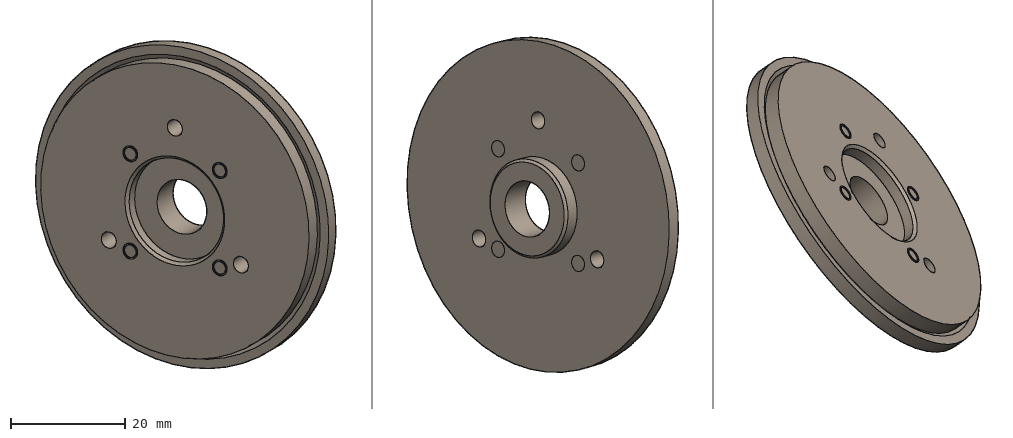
import cadquery as cq
import math

flange_diameter = 59.0
step_diameter = 54.0
boss_diameter = 17.6
step_height = 2.55
flange_thickness = 2.6
total_thickness = 8.15
boss_chamfer = 0.5
flange_back = step_height + flange_thickness

groove_diameter = 55.6
groove_depth = 0.4

bore_diameter = 10.0
recess_diameter = 19.0
recess_depth = 2.5
recess_chamfer = 0.55

through_hole_diameter = 3.0
through_hole_count = 3
through_hole_circle_radius = 15.35
first_hole_angle = 90.0

pin_diameter = 2.9
pin_length = flange_back
pin_tip_diameter = 2.35
pin_tip_depth = 0.1
pin_spacing = 18.0


def cylinder(diameter, start, length, x=0.0, z=0.0):
    """A solid cylinder along +Y that begins at Y = start."""
    return cq.Workplane(cq.Solid.makeCylinder(
        diameter / 2, length, cq.Vector(x, start, z), cq.Vector(0, 1, 0)))


def cone(start_diameter, end_diameter, start, length):
    """A solid truncated cone along +Y that begins at Y = start."""
    return cq.Workplane(cq.Solid.makeCone(
        start_diameter / 2, end_diameter / 2, length, cq.Vector(0, start, 0), cq.Vector(0, 1, 0)))


def pin_centers():
    half = pin_spacing / 2
    return [(x, z) for x in (-half, half) for z in (-half, half)]


def through_hole_centers():
    centers = []
    for index in range(through_hole_count):
        angle = math.radians(first_hole_angle + index * 360 / through_hole_count)
        centers.append((through_hole_circle_radius * math.cos(angle),
                        through_hole_circle_radius * math.sin(angle)))
    return centers


def make_pin(x, z):
    """A plain pin whose front end is stepped down to a slightly smaller tip."""
    shank = cylinder(pin_diameter, pin_tip_depth, pin_length - pin_tip_depth, x, z)
    tip = cylinder(pin_tip_diameter, 0, pin_tip_depth, x, z)
    return shank.union(tip)


def make_disc():
    disc = cylinder(flange_diameter, step_height, flange_thickness)
    disc = disc.cut(cone(groove_diameter, step_diameter, step_height, groove_depth))
    disc = disc.union(cylinder(step_diameter, 0, flange_back))

    boss = cylinder(boss_diameter, flange_back, total_thickness - flange_back)
    disc = disc.union(boss.faces(">Y").chamfer(boss_chamfer))

    disc = disc.cut(cylinder(bore_diameter, 0, total_thickness))
    disc = disc.cut(cylinder(recess_diameter, 0, recess_depth))
    recess_mouth_diameter = recess_diameter + 2 * recess_chamfer
    disc = disc.cut(cone(recess_mouth_diameter, recess_diameter, 0, recess_chamfer))

    for x, z in through_hole_centers():
        disc = disc.cut(cylinder(through_hole_diameter, 0, flange_back, x, z))
    for x, z in pin_centers():
        disc = disc.cut(cylinder(pin_diameter, 0, pin_length, x, z))
    return disc


disc = make_disc()
pins = [make_pin(x, z) for x, z in pin_centers()]

result = cq.Compound.makeCompound([disc.val(), *[pin.val() for pin in pins]])